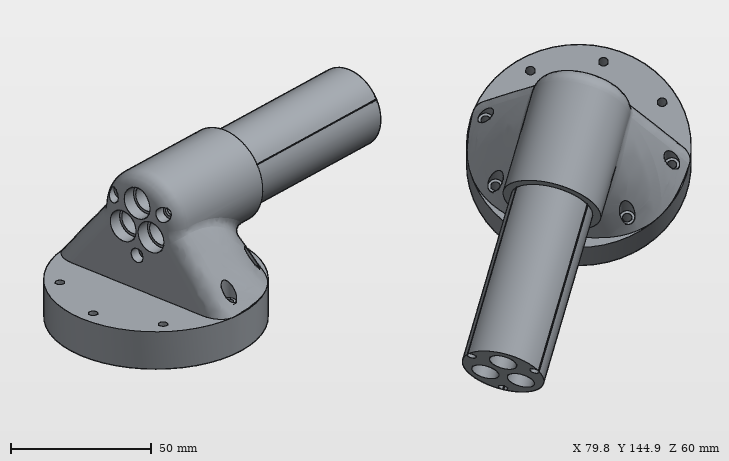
import cadquery as cq
import math

total_height = 60.0
total_length = 144.9

base_diameter = 79.8
base_height = 15.0
base_radius = base_diameter / 2

barrel_diameter = 36.0
barrel_radius = barrel_diameter / 2
axis_z = total_height - barrel_radius
front_y = -10.3
barrel_back_y = 37.2
front_round = 7.0
neck_blend = 3.6

rod_diameter = 30.0
rod_back_y = total_length - base_radius
front_wall = 5.0
seat_y = front_y + front_wall

pedestal_overlap = 1.2
pedestal_height = axis_z - base_height + pedestal_overlap
pedestal_section_count = 4
pedestal_back_y = 35.0
pedestal_back_slope = 0.27
pedestal_back_bend = 0.0138
seam_top_y = -3.2
seam_lean = 8.1
seam_bend = 13.8

channel_diameter = 10.0
opening_diameter = 12.0
channel_pitch_radius = 7.5
channel_angles = (90, 210, 330)

screw_diameter = 3.3
screw_head_diameter = 5.5
end_screw_head_depth = 4.0
end_screw_angles = (30, 150, 270)
rod_slit_breakout = 0.006
end_screw_pitch_radius = rod_diameter / 2 - screw_diameter / 2 + rod_slit_breakout
base_screw_pitch_radius = 34.2
base_screw_floor = 2.9
base_screw_head_z = base_height + base_screw_floor
base_screw_angles = (0, 45, 135, 180, 225, 270, 315)


def cylinder_y(diameter, y_start, y_end, x=0.0, z=axis_z):
    """Solid cylinder parallel to Y."""
    start = cq.Vector(x, y_start, z)
    return cq.Workplane(cq.Solid.makeCylinder(diameter / 2, y_end - y_start, start, cq.Vector(0, 1, 0)))


def around_axis(radius, angles):
    """X and Z positions on a circle about the barrel axis."""
    return [
        (radius * math.cos(math.radians(a)), axis_z + radius * math.sin(math.radians(a)))
        for a in angles
    ]


def pedestal_section(z):
    """Closed outline of the pedestal at height z: flat front, flanks round the Z axis, domed back."""
    height = z - base_height
    rise = height / (axis_z - base_height)
    drop = 1 - rise
    half_width = base_radius + (barrel_radius - base_radius) * rise
    back_y = pedestal_back_y - pedestal_back_slope * height - pedestal_back_bend * height**2
    side_y = seam_top_y + seam_lean * drop + seam_bend * drop**2
    turn = math.asin(max(side_y, 0) / half_width)
    side_x = half_width * math.cos(turn)
    side_dir = (-math.sin(turn), math.cos(turn))
    side_return = (-math.sin(turn), -math.cos(turn))
    return (
        cq.Workplane("XY", origin=(0, 0, z))
        .moveTo(-half_width, front_y)
        .lineTo(half_width, front_y)
        .spline([(side_x, side_y)], tangents=[(0, 1), side_dir], includeCurrent=True)
        .spline([(0, back_y)], tangents=[side_dir, (-1, 0)], includeCurrent=True)
        .spline([(-side_x, side_y)], tangents=[(-1, 0), side_return], includeCurrent=True)
        .spline([(-half_width, front_y)], tangents=[side_return, (0, -1)], includeCurrent=True)
        .wire()
        .val()
    )


def make_pedestal():
    step = pedestal_height / (pedestal_section_count - 1)
    sections = [pedestal_section(base_height + i * step) for i in range(pedestal_section_count)]
    return cq.Workplane(cq.Solid.makeLoft(sections))


def make_housing_blank():
    """Barrel blended into the pedestal, rounded along the front outline, on the base disc."""
    barrel = cylinder_y(barrel_diameter, front_y, barrel_back_y)
    blank = make_pedestal().union(barrel)
    lower_barrel = cq.selectors.BoxSelector(
        (-barrel_radius, front_y, axis_z - barrel_radius),
        (barrel_radius, barrel_back_y, axis_z),
    )
    blank = blank.edges(lower_barrel).edges("%BSPLINE").fillet(neck_blend)
    margin = 1.5
    above_disc = cq.selectors.BoxSelector(
        (-base_radius, front_y - margin, base_height + margin),
        (base_radius, front_y + margin, total_height + margin),
    )
    blank = blank.faces("<Y").edges(above_disc).fillet(front_round)
    base = cq.Workplane("XY").circle(base_radius).extrude(base_height)
    return blank.union(base)


def cut_base_screws(body):
    """Screw holes through the disc, with head pockets where the pedestal stands over them."""
    for angle in base_screw_angles:
        x = base_screw_pitch_radius * math.cos(math.radians(angle))
        y = base_screw_pitch_radius * math.sin(math.radians(angle))
        spot = cq.Workplane("XY").center(x, y)
        body = body.cut(spot.circle(screw_diameter / 2).extrude(base_screw_head_z))
        head = spot.workplane(offset=base_screw_head_z).circle(screw_head_diameter / 2)
        body = body.cut(head.extrude(axis_z - base_screw_head_z))
    return body


def make_housing():
    housing = make_housing_blank()
    housing = housing.cut(cylinder_y(rod_diameter, seat_y, barrel_back_y))
    for x, z in around_axis(channel_pitch_radius, channel_angles):
        housing = housing.cut(cylinder_y(opening_diameter, front_y, seat_y, x, z))
    head_floor_y = front_y + end_screw_head_depth
    for x, z in around_axis(end_screw_pitch_radius, end_screw_angles):
        housing = housing.cut(cylinder_y(screw_diameter, front_y, seat_y, x, z))
        housing = housing.cut(cylinder_y(screw_head_diameter, front_y, head_floor_y, x, z))
    return cut_base_screws(housing)


def make_rod():
    rod = cylinder_y(rod_diameter, seat_y, rod_back_y)
    for x, z in around_axis(channel_pitch_radius, channel_angles):
        rod = rod.cut(cylinder_y(channel_diameter, seat_y, rod_back_y, x, z))
    for x, z in around_axis(end_screw_pitch_radius, end_screw_angles):
        rod = rod.cut(cylinder_y(screw_diameter, seat_y, rod_back_y, x, z))
    return rod


housing = make_housing()
rod = make_rod()
result = cq.Compound.makeCompound([housing.val(), rod.val()])